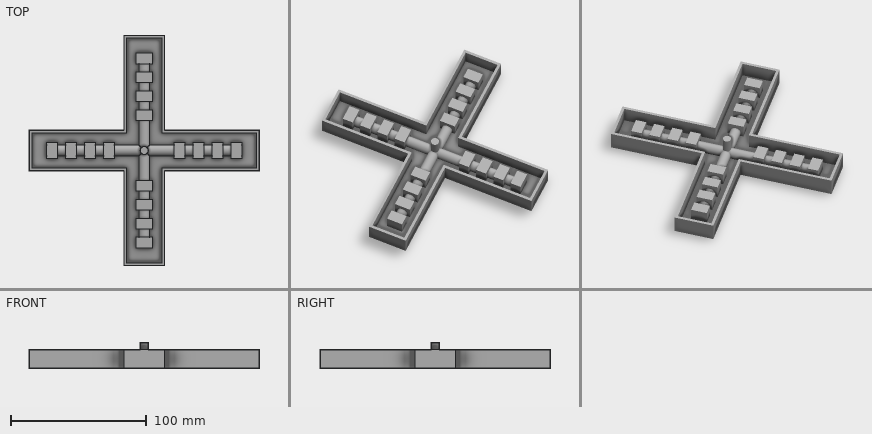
import cadquery as cq

SPAN = 170.0
TOTAL_HEIGHT = 19.0

TRAY_HEIGHT = 14.0
ARM_WIDTH = 30.0
WALL = 2.0

BAR_DIAMETER = 8.0
BAR_LENGTH = 144.0
BAR_AXIS_Z = 5.0

ARM_COUNT = 4
BLOCKS_PER_ARM = 4
BLOCK_LENGTH = 8.0
BLOCK_WIDTH = 12.0
BLOCK_TOP_Z = 12.0
FIRST_BLOCK_CENTRE = 26.0
LAST_BLOCK_CENTRE = (BAR_LENGTH - BLOCK_LENGTH) / 2
BLOCK_PITCH = (LAST_BLOCK_CENTRE - FIRST_BLOCK_CENTRE) / (BLOCKS_PER_ARM - 1)

PIN_DIAMETER = 6.0


def make_cross(length, width, bottom_z, top_z):
    """Plus-shaped slab between two heights."""
    base = cq.Workplane("XY").workplane(offset=bottom_z)
    along_x = base.rect(length, width).extrude(top_z - bottom_z)
    along_y = base.rect(width, length).extrude(top_z - bottom_z)
    return along_x.union(along_y)


def make_plain_bar(plane):
    """Full-length round bar along the normal of the given plane."""
    bar = cq.Workplane(plane).circle(BAR_DIAMETER / 2).extrude(BAR_LENGTH / 2, both=True)
    return bar.translate((0, 0, BAR_AXIS_Z))


def make_block_row():
    """Blocks of the +X arm, standing on the tray floor."""
    centres = [(FIRST_BLOCK_CENTRE + i * BLOCK_PITCH, 0) for i in range(BLOCKS_PER_ARM)]
    floor = cq.Workplane("XY").workplane(offset=WALL)
    return floor.pushPoints(centres).rect(BLOCK_LENGTH, BLOCK_WIDTH).extrude(BLOCK_TOP_Z - WALL)


def make_tray():
    """Tray with its block rows, cleared for both bars."""
    outside = make_cross(SPAN, ARM_WIDTH, 0, TRAY_HEIGHT)
    inside = make_cross(SPAN - 2 * WALL, ARM_WIDTH - 2 * WALL, WALL, TRAY_HEIGHT)
    tray = outside.cut(inside)
    block_row = make_block_row()
    for i in range(ARM_COUNT):
        tray = tray.union(block_row.rotate((0, 0, 0), (0, 0, 1), i * 360 / ARM_COUNT))
    return tray.cut(make_plain_bar("YZ")).cut(make_plain_bar("XZ"))


def make_pin():
    """Pin standing on the flat of the X bar at the crossing."""
    base = cq.Workplane("XY").workplane(offset=BAR_AXIS_Z)
    return base.circle(PIN_DIAMETER / 2).extrude(TOTAL_HEIGHT - BAR_AXIS_Z)


def make_x_bar():
    """Bar along X, its upper half removed where the Y bar crosses, with a seat for the pin."""
    bar = make_plain_bar("YZ")
    above_axis = (
        cq.Workplane("XY").workplane(offset=BAR_AXIS_Z).rect(SPAN, SPAN).extrude(BAR_DIAMETER)
    )
    return bar.cut(make_plain_bar("XZ").intersect(above_axis)).cut(make_pin())


def make_y_bar():
    """Bar along Y, half-lapped over the X bar and bored for the pin."""
    return make_plain_bar("XZ").cut(make_x_bar()).cut(make_pin())


tray = make_tray()
x_bar = make_x_bar()
y_bar = make_y_bar()
pin = make_pin()

bodies = [tray, x_bar, y_bar, pin]
result = cq.Compound.makeCompound([body.solids().val() for body in bodies])